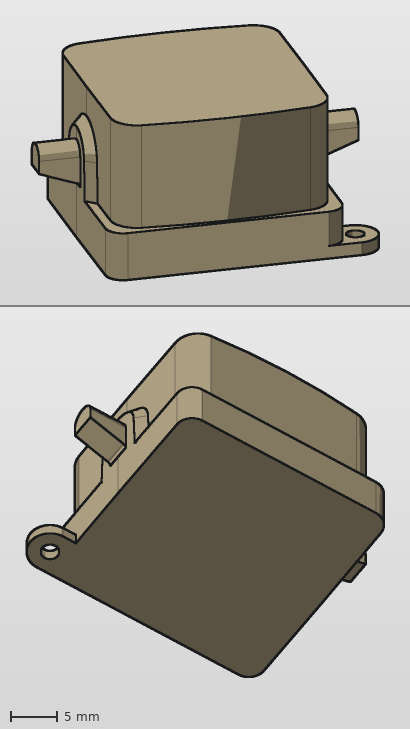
import cadquery as cq
import math

flange_width = 26.7
flange_length_center = 26.75
flange_length_side = 26.65
flange_height = 5.5
flange_corner_radius = 2.0

total_height = 17.5
block_width_center = 25.6
block_width_corner = 23.9
block_length_center = 24.45
block_length_side = 24.35
block_corner_radius = 3.0

peg_span = 36.0
peg_radius = 1.5
peg_axis_z = 10.0
peg_tip_height = 3.0
peg_underside_angle = 20.0
peg_root_fillet = 0.5

boss_radius = 2 * peg_radius
boss_side_draft = 2.5
boss_flare_angle = 43.0
boss_foot_z = 3.0

eyelet_radius = 2.55
eyelet_hole_diameter = 2.0
eyelet_thickness = 1.5
eyelet_y = 15.0

boss_face_y = flange_length_center / 2


def flange_prism(height):
    """Rounded plan of the flange, with end walls ridged at the centre plane."""
    half_width = flange_width / 2
    ridge_y = flange_length_center / 2
    side_y = flange_length_side / 2
    outline = [
        (-half_width, -side_y),
        (0, -ridge_y),
        (half_width, -side_y),
        (half_width, side_y),
        (0, ridge_y),
        (-half_width, side_y),
    ]
    prism = cq.Workplane("XY").polyline(outline).close().extrude(height)
    return prism.edges("|Z").edges("<X or >X").fillet(flange_corner_radius)


def cap_block():
    """Tall block whose long sides are shallow arcs."""
    corner_x = block_width_corner / 2
    bulge_x = block_width_center / 2
    ridge_y = block_length_center / 2
    side_y = block_length_side / 2
    block = (
        cq.Workplane("XY")
        .moveTo(-corner_x, -side_y)
        .lineTo(0, -ridge_y)
        .lineTo(corner_x, -side_y)
        .threePointArc((bulge_x, 0), (corner_x, side_y))
        .lineTo(0, ridge_y)
        .lineTo(-corner_x, side_y)
        .threePointArc((-bulge_x, 0), (-corner_x, -side_y))
        .close()
        .extrude(total_height)
    )
    return block.edges("|Z").edges("<X or >X").fillet(block_corner_radius)


def front_boss():
    """Arched boss that widens from its front face back to the block."""
    draft = math.radians(boss_side_draft)
    tangent_x = boss_radius * math.cos(draft)
    tangent_z = peg_axis_z + boss_radius * math.sin(draft)
    foot_x = tangent_x + (tangent_z - boss_foot_z) * math.tan(draft)
    depth = (flange_length_center - block_length_side) / 2
    arch = (
        cq.Workplane("XZ", origin=(0, -boss_face_y, 0))
        .moveTo(-foot_x, boss_foot_z)
        .lineTo(-tangent_x, tangent_z)
        .threePointArc((0, peg_axis_z + boss_radius), (tangent_x, tangent_z))
        .lineTo(foot_x, boss_foot_z)
        .close()
        .extrude(-depth, taper=-boss_flare_angle)
    )
    return arch.intersect(flange_prism(total_height))


def front_peg():
    """Round-topped peg whose underside slopes down to a filleted root."""
    slope = math.radians(peg_underside_angle)
    tip_y = -peg_span / 2
    inner_y = -block_length_side / 2
    top_z = peg_axis_z + peg_radius
    tip_z = top_z - peg_tip_height
    root_z = tip_z - (peg_span / 2 - boss_face_y) * math.tan(slope)
    fillet_reach = peg_root_fillet * math.tan((math.pi / 2 - slope) / 2)
    fillet_start = (-boss_face_y - fillet_reach * math.cos(slope), root_z + fillet_reach * math.sin(slope))
    fillet_end = (-boss_face_y, root_z - fillet_reach)
    side = (
        cq.Workplane("YZ")
        .moveTo(tip_y, top_z)
        .lineTo(tip_y, tip_z)
        .lineTo(*fillet_start)
        .tangentArcPoint(fillet_end, relative=False)
        .lineTo(inner_y, fillet_end[1])
        .lineTo(inner_y, top_z)
        .close()
        .extrude(peg_radius, both=True)
    )
    section = (
        cq.Workplane("XZ")
        .moveTo(-peg_radius, 0)
        .lineTo(-peg_radius, peg_axis_z)
        .threePointArc((0, top_z), (peg_radius, peg_axis_z))
        .lineTo(peg_radius, 0)
        .close()
        .extrude(peg_span / 2)
    )
    return side.intersect(section)


def cord_eyelet():
    """Flat lug flush with the flange side and bottom, with a hole for a cord."""
    center_x = flange_width / 2 - eyelet_radius
    root_y = flange_length_side / 2 - flange_corner_radius
    lug = (
        cq.Workplane("XY")
        .moveTo(center_x - eyelet_radius, root_y)
        .lineTo(center_x - eyelet_radius, eyelet_y)
        .threePointArc((center_x, eyelet_y + eyelet_radius), (center_x + eyelet_radius, eyelet_y))
        .lineTo(center_x + eyelet_radius, root_y)
        .close()
        .extrude(eyelet_thickness)
    )
    hole = (
        cq.Workplane("XY")
        .center(center_x, eyelet_y)
        .circle(eyelet_hole_diameter / 2)
        .extrude(eyelet_thickness)
    )
    return lug.cut(hole)


end_fitting = front_boss().union(front_peg())
cover = flange_prism(flange_height).union(cap_block()).union(cord_eyelet())
cover = cover.union(end_fitting).union(end_fitting.mirror("XZ"))

result = cq.Compound.makeCompound([cover.val()])